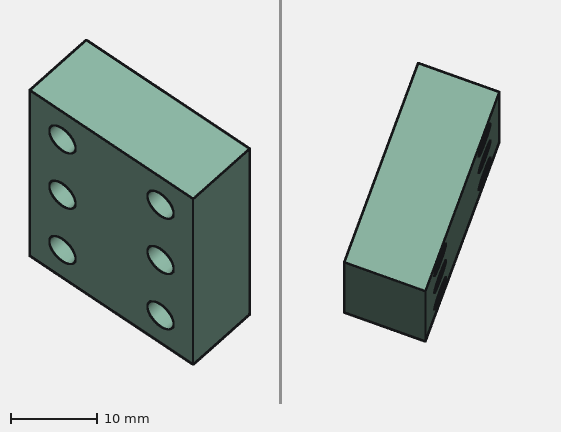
import cadquery as cq

width = 25.0
depth = 10.0
height = 30.0

hole_diameter = 4.0
hole_columns = 2
hole_rows = 3
column_spacing = 15.0
row_spacing = 10.0


def make_block():
    """Plain rectangular block centred on the origin."""
    return cq.Workplane("XY").box(width, depth, height)


def drill_holes(block):
    """Drill the grid of holes right through the block from its front face."""
    return (
        block.faces("<Y")
        .workplane(centerOption="CenterOfBoundBox")
        .rarray(column_spacing, row_spacing, hole_columns, hole_rows)
        .hole(hole_diameter)
    )


result = drill_holes(make_block())